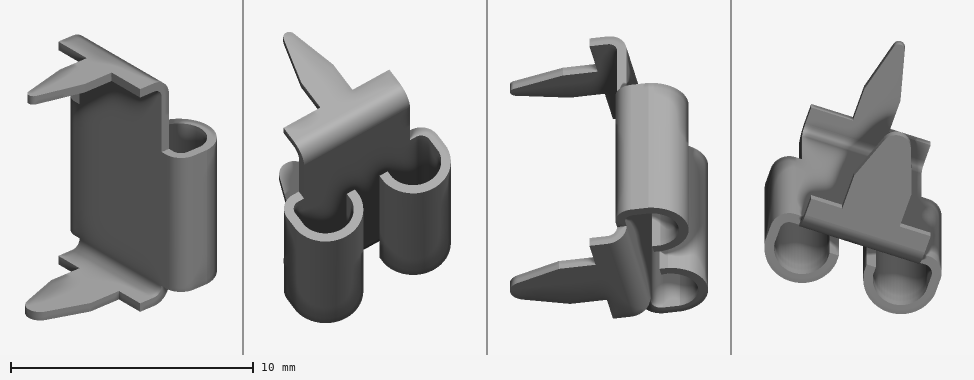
import cadquery as cq
import math

thickness = 0.4
bend_inner_radius = 0.4
bend_outer_radius = bend_inner_radius + thickness

overall_height = 10.57
bracket_width = 5.2
flange_reach = 1.16

clip_width = 7.39
clip_bottom = bend_outer_radius
clip_height = 6.36
curl_width = 3.09
curl_spring_y = 1.52
curl_top_y = 2.89
curl_lip_y = 1.17

tang_root_y = -bend_outer_radius
tang_end_y = -4.98
lower_tang_width = 2.5
lower_shoulder_y = -2.7
lower_tip_radius = 0.62
upper_tang_width = 1.58
upper_shoulder_y = -2.62
upper_tip_radius = 0.25


def make_bracket():
    """Back plate with a flange bent toward -Y at the top and the bottom."""
    profile = (
        cq.Workplane("YZ")
        .moveTo(-flange_reach, 0)
        .lineTo(thickness - bend_outer_radius, 0)
        .radiusArc((thickness, bend_outer_radius), -bend_outer_radius)
        .lineTo(thickness, overall_height - bend_outer_radius)
        .radiusArc((thickness - bend_outer_radius, overall_height), -bend_outer_radius)
        .lineTo(-flange_reach, overall_height)
        .lineTo(-flange_reach, overall_height - thickness)
        .lineTo(-bend_inner_radius, overall_height - thickness)
        .radiusArc((0, overall_height - bend_outer_radius), bend_inner_radius)
        .lineTo(0, bend_outer_radius)
        .radiusArc((-bend_inner_radius, thickness), bend_inner_radius)
        .lineTo(-flange_reach, thickness)
        .close()
    )
    return profile.extrude(bracket_width / 2, both=True)


def make_wing():
    """Half of the clip on the -X side: flat web, rounded corner and curled lip."""
    outer_x = -clip_width / 2
    inner_x = outer_x + thickness
    corner_x = outer_x + bend_outer_radius
    curl_center_x = outer_x + curl_width / 2
    lip_outer_x = outer_x + curl_width
    lip_inner_x = lip_outer_x - thickness
    profile = (
        cq.Workplane("XY")
        .workplane(offset=clip_bottom)
        .moveTo(0, 0)
        .lineTo(corner_x, 0)
        .radiusArc((outer_x, bend_outer_radius), bend_outer_radius)
        .lineTo(outer_x, curl_spring_y)
        .threePointArc((curl_center_x, curl_top_y), (lip_outer_x, curl_spring_y))
        .lineTo(lip_outer_x, curl_lip_y)
        .lineTo(lip_inner_x, curl_lip_y)
        .lineTo(lip_inner_x, curl_spring_y)
        .threePointArc((curl_center_x, curl_top_y - thickness), (inner_x, curl_spring_y))
        .lineTo(inner_x, bend_outer_radius)
        .radiusArc((corner_x, thickness), -bend_inner_radius)
        .lineTo(0, thickness)
        .close()
    )
    return profile.extrude(clip_height)


def make_tang(bottom_z, width, shoulder_y, tip_radius):
    """Flat tang with straight sides, a taper and a round tip tangent to the taper."""
    half_width = width / 2
    tip_center_y = tang_end_y + tip_radius
    shoulder_distance = math.hypot(half_width, shoulder_y - tip_center_y)
    shoulder_angle = math.atan2(shoulder_y - tip_center_y, half_width)
    tangent_angle = shoulder_angle - math.acos(tip_radius / shoulder_distance)
    tangent_x = tip_radius * math.cos(tangent_angle)
    tangent_y = tip_center_y + tip_radius * math.sin(tangent_angle)
    profile = (
        cq.Workplane("XY")
        .workplane(offset=bottom_z)
        .moveTo(half_width, tang_root_y)
        .lineTo(half_width, shoulder_y)
        .lineTo(tangent_x, tangent_y)
        .threePointArc((0, tang_end_y), (-tangent_x, tangent_y))
        .lineTo(-half_width, shoulder_y)
        .lineTo(-half_width, tang_root_y)
        .close()
    )
    return profile.extrude(thickness)


left_wing = make_wing()
right_wing = left_wing.mirror("YZ")
lower_tang = make_tang(0, lower_tang_width, lower_shoulder_y, lower_tip_radius)
upper_tang = make_tang(
    overall_height - thickness, upper_tang_width, upper_shoulder_y, upper_tip_radius
)

result = make_bracket()
for piece in (left_wing, right_wing, lower_tang, upper_tang):
    result = result.union(piece)
result = result.clean()